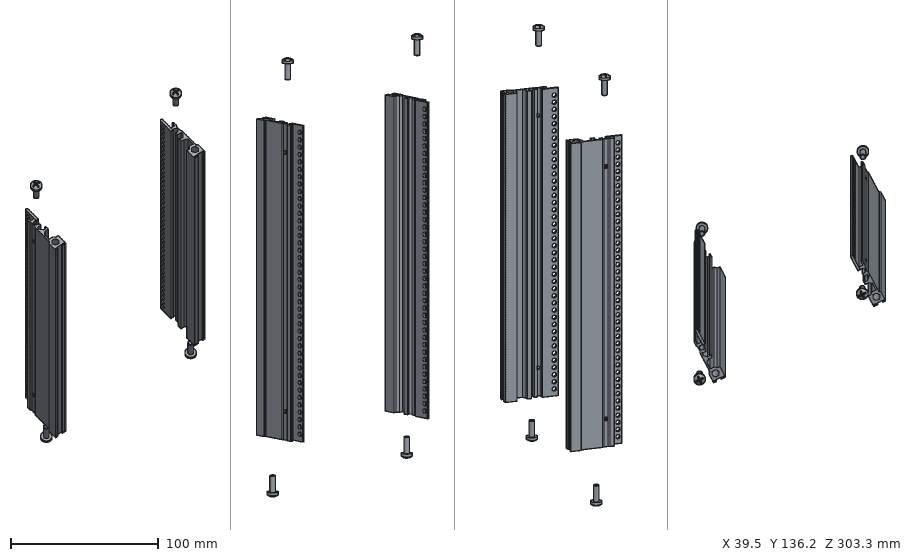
import cadquery as cq


port_distance = 122.0
rail_length = 218.3
rail_bottom = 39.7
overall_height = 303.3
overall_width = 39.5

web_left = -6.5
web_inner = 1.8
web_outer = 3.0
edge_chamfer = 0.5
groove_mouth_width = 5.5
groove_floor_width = 3.0
groove_depth = 0.5

port_diameter = 3.3
port_half_width = 3.5
port_bottom = -1.2
slot_width = 2.7

post_left = 7.5
post_right = 9.5
post_base_left = 5.5
post_base_right = 11.0
post_neck = -0.3
hook_left = 6.5
hook_top = -2.0
hook_bottom = -3.0

box_left = 16.0
box_step = 18.2
box_right = 26.0
box_outer = 4.2
box_corner = -1.2
flange_left = 17.5
flange_top = -2.7
flange_bottom = -5.0
bore_x = 20.5
bore_diameter = 5.0

lip_thickness = 0.5
cavity_left = 25.0
cavity_bottom = -4.0
cavity_top = 3.3
mouth_bottom = -1.5
mouth_top = 2.0

fixing_hole_diameter = 2.5
fixing_hole_distance = 179.0

strip_left = box_right - overall_width
strip_right = -1.5
strip_top = port_bottom
strip_bottom = -3.0
edge_bevel = 0.45
hole_x = -10.3
hole_diameter = 3.0
hole_row_length = 208.3
hole_count = 42

shank_diameter = 4.0
shank_length = 11.5
tip_chamfer = 0.45
head_diameter = 8.0
head_height = 3.3
rim_height = 1.8
crown_flat_diameter = 2.5
crown_arc_level = 0.35
cross_span = 5.2
cross_width = 1.0
cross_depth = 1.5

back_screw_x = 8.5
back_screw_y = 6.0
front_screw_x = 6.5
front_screw_y = 3.5
front_screw_bottom = 10.0


def prism(points):
    """Closed section extruded over the rail length."""
    return cq.Workplane("XY").polyline(points).close().extrude(rail_length)


def lengthwise_bore(x, diameter):
    """Round cutter along the whole rail, on the level of the port axis."""
    return cq.Workplane("XY").center(x, 0).circle(diameter / 2).extrude(rail_length)


def cross_holes(x, heights, diameter):
    """Round cutters along Y at the given heights, longer than the section is deep."""
    points = [(x, z) for z in heights]
    reach = box_outer - flange_bottom
    return cq.Workplane("XZ").pushPoints(points).circle(diameter / 2).extrude(reach, both=True)


def make_rail():
    """Extruded rail with its screw port, hooked post and edge box."""
    lip_inner = box_right - lip_thickness
    rail = prism([
        (web_left, web_outer - edge_chamfer),
        (web_left + edge_chamfer, web_outer),
        (box_step, web_outer),
        (box_step, box_outer - edge_chamfer),
        (box_step + edge_chamfer, box_outer),
        (box_right, box_outer),
        (box_right, mouth_top),
        (lip_inner, mouth_top),
        (lip_inner, cavity_top),
        (cavity_left, cavity_top),
        (cavity_left, cavity_bottom),
        (lip_inner, cavity_bottom),
        (lip_inner, mouth_bottom),
        (box_right, mouth_bottom),
        (box_right, flange_bottom),
        (flange_left, flange_bottom),
        (flange_left, flange_top),
        (box_left, box_corner),
        (box_left, web_inner),
        (post_base_right, web_inner),
        (post_right, post_neck),
        (post_right, hook_bottom),
        (hook_left, hook_bottom),
        (hook_left, hook_top),
        (post_left, hook_top),
        (post_left, post_neck),
        (post_base_left, web_inner),
        (port_half_width, web_inner),
        (port_half_width, port_bottom),
        (-port_half_width, port_bottom),
        (-port_half_width, web_inner),
        (web_left, web_inner),
    ])
    groove = prism([
        (-groove_mouth_width / 2, web_outer),
        (groove_mouth_width / 2, web_outer),
        (groove_floor_width / 2, web_outer - groove_depth),
        (-groove_floor_width / 2, web_outer - groove_depth),
    ])
    slot = prism([
        (-slot_width / 2, 0),
        (slot_width / 2, 0),
        (slot_width / 2, port_bottom),
        (-slot_width / 2, port_bottom),
    ])
    middle = rail_length / 2
    fixing_heights = [middle + side * fixing_hole_distance / 2 for side in (-1, 1)]
    rail = rail.cut(lengthwise_bore(0, port_diameter)).cut(slot).cut(groove)
    rail = rail.cut(lengthwise_bore(bore_x, bore_diameter))
    return rail.cut(cross_holes(0, fixing_heights, fixing_hole_diameter))


def make_strip():
    """Flat strip with a row of holes along its bevelled free edge."""
    strip = prism([
        (strip_left, strip_bottom + edge_bevel),
        (strip_left, strip_top - edge_bevel),
        (strip_left + edge_bevel, strip_top),
        (strip_right, strip_top),
        (strip_right, strip_bottom),
        (strip_left + edge_bevel, strip_bottom),
    ])
    hole_pitch = hole_row_length / (hole_count - 1)
    first_hole = (rail_length - hole_row_length) / 2
    heights = [first_hole + i * hole_pitch for i in range(hole_count)]
    return strip.cut(cross_holes(hole_x, heights, hole_diameter))


def make_screw():
    """Screw on the Z axis, with the crown of its head at Z = 0 and its shank pointing up."""
    crown_height = head_height - rim_height
    crown_middle = ((crown_flat_diameter + head_diameter) / 4, crown_height * crown_arc_level)
    screw = (
        cq.Workplane("XZ")
        .lineTo(crown_flat_diameter / 2, 0)
        .threePointArc(crown_middle, (head_diameter / 2, crown_height))
        .lineTo(head_diameter / 2, head_height)
        .lineTo(0, head_height)
        .close()
        .revolve(360, (0, 0), (0, 1))
        .faces(">Z")
        .workplane()
        .circle(shank_diameter / 2)
        .extrude(shank_length)
        .faces(">Z")
        .chamfer(tip_chamfer)
    )
    for length, width in [(cross_span, cross_width), (cross_width, cross_span)]:
        screw = screw.cut(cq.Workplane("XY").rect(length, width).extrude(cross_depth))
    return screw


back_y = port_distance / 2
front_y = -port_distance / 2


def back_and_front(body):
    """The body at the back rail and its mirror image at the front rail."""
    return [
        body.translate((0, back_y, rail_bottom)),
        body.mirror("XZ").translate((0, front_y, rail_bottom)),
    ]


rails = back_and_front(make_rail())
strips = back_and_front(make_strip())

lower_screw = make_screw()
upper_screw = lower_screw.mirror("XY").translate((0, 0, overall_height))
screws = [upper_screw.translate((0, y, 0)) for y in (back_y, front_y)]
lower_places = [
    (back_screw_x, back_y + back_screw_y, 0),
    (front_screw_x, front_y + front_screw_y, front_screw_bottom),
]
screws += [lower_screw.translate(place) for place in lower_places]

result = cq.Compound.makeCompound([body.solids().val() for body in rails + strips + screws])